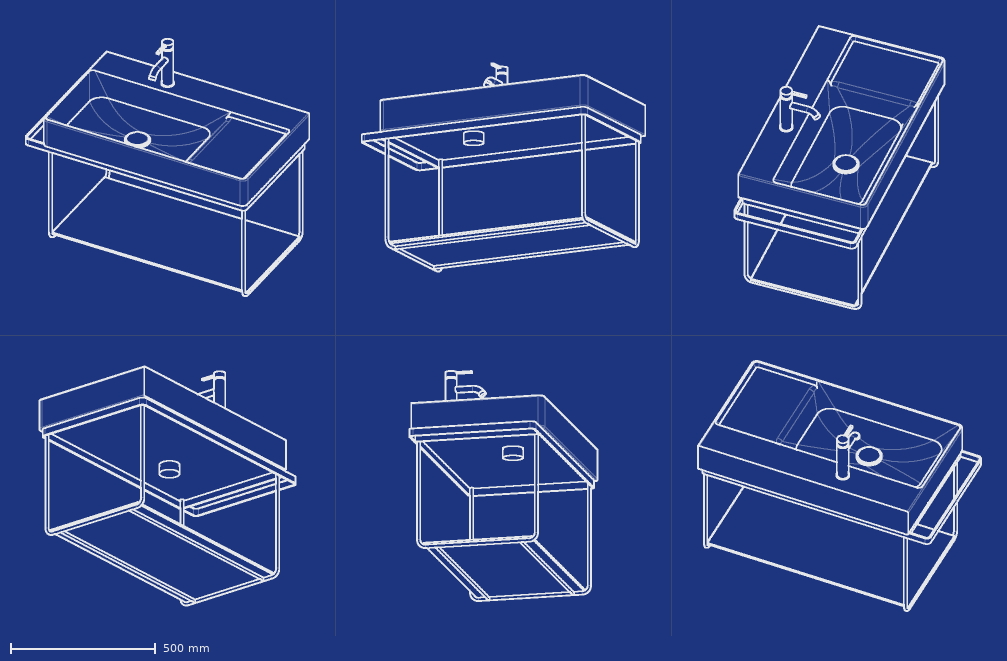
import cadquery as cq
import math


SELECT_MARGIN = 1.0

BASIN_LEFT = 76.0
BASIN_RIGHT = 873.5
BASIN_DEPTH = 470.0
BASIN_BOTTOM = 405.0
BASIN_TOP = 517.0
BASIN_CORNER_RADIUS = 20.0
BASIN_EDGE_RADIUS = 4.0

RIM_WIDTH = 7.0
BACK_LEDGE = 122.0
OPENING_RADIUS = 14.0
OPENING_LEFT = BASIN_LEFT + RIM_WIDTH
OPENING_RIGHT = BASIN_RIGHT - RIM_WIDTH
OPENING_FRONT = -BASIN_DEPTH + RIM_WIDTH

TRAY_DROP = 12.0
TRAY_WALL_RUN = 12.0
TRAY_CORNER_RADIUS = 7.0
TRAY_LIP_RADIUS = 24.0
TRAY_Z = BASIN_TOP - TRAY_DROP

BOWL_RIGHT = 642.0
DRAIN_X = 356.0
DRAIN_Y = -293.0
WALL_FOOT_Z = 449.0
WALL_RUN = 40.0
WALL_RUN_RIGHT = 51.5
WALL_FOOT_RADIUS = 48.0
FLOOR_MID_Z = 423.0
FLOOR_MID_LENGTH = 332.0
FLOOR_MID_WIDTH = 178.0
FLOOR_Z = 414.0
FLOOR_FLAT = 91.0
FLOOR_FLAT_RADIUS = 42.0

FLANGE_RADIUS = 44.5
FLANGE_THICKNESS = 3.5
CAP_RADIUS = 39.0
CAP_TOP = 420.0
PIPE_RADIUS = 35.0
PIPE_BOTTOM = 372.0
FLANGE_BOTTOM = FLOOR_Z - FLANGE_THICKNESS

RAIL_RIGHT = 867.0
RAIL_BACK = -9.0
RAIL_FRONT = -458.0
RAIL_HEIGHT = 26.0
RAIL_THICKNESS = 5.0
RAIL_BRACE_LEFT = 81.0
RAIL_CORNER_RADIUS = 17.0

TUBE_RADIUS = 6.0
LEG_XS = (95.0, 853.0)
LEG_BACK_Y = -22.0
LEG_FRONT_Y = -441.0
LEG_BEND_RADIUS = 25.0
CROSSBAR_RADIUS = 5.0
CROSSBAR_YS = (-83.0, -383.5)
SHELF_BACK_Y = -40.0
SHELF_FRONT_Y = -424.0
SHELF_THICKNESS = 7.0
SHELF_OVERHANG = 3.5

TAP_X = DRAIN_X
TAP_Y = -72.5
TAP_RADIUS = 20.0
TAP_BASE_RADIUS = 23.0
TAP_BASE_HEIGHT = 3.0
TAP_BODY_TOP = 665.5
SPOUT_RADIUS = 10.9
SPOUT_Z = 627.0
SPOUT_STRAIGHT_END_Y = -150.0
SPOUT_BEND_RADIUS = 37.0
SPOUT_BEND_ANGLE = math.radians(55)
OUTLET_RADIUS = 11.8
OUTLET_LENGTH = 11.0

HANDLE_TOP = 691.0
HANDLE_NECK_RADIUS = 18.0
HANDLE_NECK_HEIGHT = 4.0
LEVER_TIP_Y = -147.0
LEVER_WIDTH = 9.0
LEVER_THICKNESS = 5.0
LEVER_TOP_GAP = 1.0


def block(x1, x2, y1, y2, z1, z2):
    """Box between two opposite corners."""
    return cq.Workplane("XY").box(x2 - x1, y2 - y1, z2 - z1, centered=False).translate((x1, y1, z1))


def cylinder(x, y, z1, z2, radius):
    """Upright cylinder from height z1 to height z2."""
    return cq.Workplane("XY", origin=(x, y, z1)).circle(radius).extrude(z2 - z1)


def rounded_rectangle(x1, x2, y1, y2, z, radius):
    """Horizontal rounded-rectangle wire at height z."""
    plate = block(x1, x2, y1, y2, z, z + 9).edges("|Z").fillet(radius)
    return plate.faces("<Z").wires().val()


def centred_rectangle(length, width, z, radius):
    """Rounded-rectangle wire centred on the drain."""
    return rounded_rectangle(
        DRAIN_X - length / 2, DRAIN_X + length / 2,
        DRAIN_Y - width / 2, DRAIN_Y + width / 2, z, radius,
    )


def make_bowl():
    """Bowl cavity: straight sloping walls above a dished floor."""
    mouth = rounded_rectangle(
        OPENING_LEFT, BOWL_RIGHT, OPENING_FRONT, -BACK_LEDGE, BASIN_TOP, OPENING_RADIUS)
    wall_foot = rounded_rectangle(
        OPENING_LEFT + WALL_RUN, BOWL_RIGHT - WALL_RUN_RIGHT,
        OPENING_FRONT + WALL_RUN, -BACK_LEDGE - WALL_RUN, WALL_FOOT_Z, WALL_FOOT_RADIUS)
    floor_middle = centred_rectangle(
        FLOOR_MID_LENGTH, FLOOR_MID_WIDTH, FLOOR_MID_Z, WALL_FOOT_RADIUS)
    floor_flat = centred_rectangle(FLOOR_FLAT, FLOOR_FLAT, FLOOR_Z, FLOOR_FLAT_RADIUS)
    walls = cq.Solid.makeLoft([mouth, wall_foot], True)
    dish = cq.Solid.makeLoft([wall_foot, floor_middle, floor_flat], False)
    return cq.Workplane(walls).union(cq.Workplane(dish))


def make_tray():
    """Shallow cavity with sloping walls below the whole opening."""
    mouth = rounded_rectangle(
        OPENING_LEFT, OPENING_RIGHT, OPENING_FRONT, -BACK_LEDGE, BASIN_TOP, OPENING_RADIUS)
    tray_floor = rounded_rectangle(
        OPENING_LEFT + TRAY_WALL_RUN, OPENING_RIGHT - TRAY_WALL_RUN,
        OPENING_FRONT + TRAY_WALL_RUN, -BACK_LEDGE - TRAY_WALL_RUN,
        TRAY_Z, TRAY_CORNER_RADIUS)
    return cq.Workplane(cq.Solid.makeLoft([mouth, tray_floor], True))


def make_basin():
    """Block rounded on all edges but those at the wall, with tray, bowl and drain hole."""
    basin = block(BASIN_LEFT, BASIN_RIGHT, -BASIN_DEPTH, 0, BASIN_BOTTOM, BASIN_TOP)
    basin = basin.edges("|Z and <Y").fillet(BASIN_CORNER_RADIUS)
    exposed_edges = cq.selectors.BoxSelector(
        (BASIN_LEFT - SELECT_MARGIN, -BASIN_DEPTH - SELECT_MARGIN, BASIN_BOTTOM - SELECT_MARGIN),
        (BASIN_RIGHT + SELECT_MARGIN, -SELECT_MARGIN, BASIN_TOP + SELECT_MARGIN))
    basin = basin.faces("<Z or >Z").edges(exposed_edges).fillet(BASIN_EDGE_RADIUS)
    basin = basin.cut(make_tray()).cut(make_bowl())
    lip_zone = cq.selectors.BoxSelector(
        (BOWL_RIGHT - WALL_RUN_RIGHT, -BASIN_DEPTH, TRAY_Z - SELECT_MARGIN),
        (BOWL_RIGHT, 0, TRAY_Z + SELECT_MARGIN))
    basin = basin.edges(lip_zone).fillet(TRAY_LIP_RADIUS)
    basin = basin.cut(cylinder(DRAIN_X, DRAIN_Y, FLANGE_BOTTOM, BASIN_TOP, FLANGE_RADIUS))
    basin = basin.cut(cylinder(DRAIN_X, DRAIN_Y, BASIN_BOTTOM, FLANGE_BOTTOM, PIPE_RADIUS))
    return basin


def make_drain():
    """Pipe through the basin floor with its flange and flat cap."""
    pipe = cylinder(DRAIN_X, DRAIN_Y, PIPE_BOTTOM, FLANGE_BOTTOM, PIPE_RADIUS)
    flange = cylinder(DRAIN_X, DRAIN_Y, FLANGE_BOTTOM, FLOOR_Z, FLANGE_RADIUS)
    cap = cylinder(DRAIN_X, DRAIN_Y, FLOOR_Z, CAP_TOP, CAP_RADIUS)
    return pipe.union(flange).union(cap)


def make_rail():
    """Flat bar bent into a closed frame under the basin, with a brace across it."""
    rail_bottom = BASIN_BOTTOM - RAIL_HEIGHT
    outer = block(0, RAIL_RIGHT, RAIL_FRONT, RAIL_BACK, rail_bottom, BASIN_BOTTOM)
    outer = outer.edges("|Z").fillet(RAIL_CORNER_RADIUS)
    inner = block(
        RAIL_THICKNESS, RAIL_RIGHT - RAIL_THICKNESS,
        RAIL_FRONT + RAIL_THICKNESS, RAIL_BACK - RAIL_THICKNESS, rail_bottom, BASIN_BOTTOM)
    inner = inner.edges("|Z").fillet(RAIL_CORNER_RADIUS - RAIL_THICKNESS)
    brace = block(
        RAIL_BRACE_LEFT, RAIL_BRACE_LEFT + RAIL_THICKNESS,
        RAIL_FRONT + RAIL_THICKNESS, RAIL_BACK - RAIL_THICKNESS, rail_bottom, BASIN_BOTTOM)
    return outer.cut(inner).union(brace)


def make_leg_loop(x):
    """U-shaped tube: two legs hanging from the basin and the run that joins them."""
    bend_offset = LEG_BEND_RADIUS * (1 - math.sqrt(0.5))
    bend_z = TUBE_RADIUS + LEG_BEND_RADIUS
    path = (
        cq.Workplane("YZ", origin=(x, 0, 0))
        .moveTo(LEG_BACK_Y, BASIN_BOTTOM)
        .lineTo(LEG_BACK_Y, bend_z)
        .threePointArc(
            (LEG_BACK_Y - bend_offset, TUBE_RADIUS + bend_offset),
            (LEG_BACK_Y - LEG_BEND_RADIUS, TUBE_RADIUS))
        .lineTo(LEG_FRONT_Y + LEG_BEND_RADIUS, TUBE_RADIUS)
        .threePointArc(
            (LEG_FRONT_Y + bend_offset, TUBE_RADIUS + bend_offset),
            (LEG_FRONT_Y, bend_z))
        .lineTo(LEG_FRONT_Y, BASIN_BOTTOM)
    )
    start = cq.Workplane("XY", origin=(x, LEG_BACK_Y, BASIN_BOTTOM))
    return start.circle(TUBE_RADIUS).sweep(path)


def make_crossbar(y, leg_loops):
    """Straight tube between the two loops, its ends shaped to fit against them."""
    first_x, last_x = LEG_XS
    bar = cq.Workplane("YZ", origin=(first_x, y, TUBE_RADIUS)).circle(CROSSBAR_RADIUS)
    bar = bar.extrude(last_x - first_x)
    for loop in leg_loops:
        bar = bar.cut(loop)
    return bar


def make_shelf(leg_loops):
    """Board resting on the loops, relieved where its ends meet their bends."""
    first_x, last_x = LEG_XS
    seat_z = 2 * TUBE_RADIUS
    shelf = block(
        first_x - SHELF_OVERHANG, last_x + SHELF_OVERHANG,
        SHELF_FRONT_Y, SHELF_BACK_Y, seat_z, seat_z + SHELF_THICKNESS)
    for loop in leg_loops:
        shelf = shelf.cut(loop)
    return shelf


def make_spout():
    """Tube running forward from the tap axis, bent down and ending in a wider outlet."""
    def bend_point(angle):
        return (
            SPOUT_STRAIGHT_END_Y - SPOUT_BEND_RADIUS * math.sin(angle),
            SPOUT_Z - SPOUT_BEND_RADIUS * (1 - math.cos(angle)),
        )

    bend_end = bend_point(SPOUT_BEND_ANGLE)
    path = (
        cq.Workplane("YZ", origin=(TAP_X, 0, 0))
        .moveTo(TAP_Y, SPOUT_Z)
        .lineTo(SPOUT_STRAIGHT_END_Y, SPOUT_Z)
        .threePointArc(bend_point(SPOUT_BEND_ANGLE / 2), bend_end)
    )
    tube = cq.Workplane("XZ", origin=(TAP_X, TAP_Y, SPOUT_Z)).circle(SPOUT_RADIUS).sweep(path)
    outlet = cq.Solid.makeCylinder(
        OUTLET_RADIUS, OUTLET_LENGTH, cq.Vector(TAP_X, *bend_end),
        cq.Vector(0, -math.cos(SPOUT_BEND_ANGLE), -math.sin(SPOUT_BEND_ANGLE)))
    return tube.union(cq.Workplane(outlet))


def make_tap():
    """Tap column with its base ring and spout."""
    column = cylinder(TAP_X, TAP_Y, BASIN_TOP, TAP_BODY_TOP, TAP_RADIUS)
    base = cylinder(TAP_X, TAP_Y, BASIN_TOP, BASIN_TOP + TAP_BASE_HEIGHT, TAP_BASE_RADIUS)
    return column.union(base).union(make_spout())


def make_handle():
    """Round handle on a slimmer neck with a flat lever pointing forward."""
    head_bottom = TAP_BODY_TOP + HANDLE_NECK_HEIGHT
    neck = cylinder(TAP_X, TAP_Y, TAP_BODY_TOP, head_bottom, HANDLE_NECK_RADIUS)
    head = cylinder(TAP_X, TAP_Y, head_bottom, HANDLE_TOP, TAP_RADIUS)
    lever_top = HANDLE_TOP - LEVER_TOP_GAP
    lever = block(
        TAP_X - LEVER_WIDTH / 2, TAP_X + LEVER_WIDTH / 2, LEVER_TIP_Y, TAP_Y,
        lever_top - LEVER_THICKNESS, lever_top)
    return neck.union(head).union(lever)


basin = make_basin()
drain = make_drain()
rail = make_rail()
leg_loops = [make_leg_loop(x) for x in LEG_XS]
crossbars = [make_crossbar(y, leg_loops) for y in CROSSBAR_YS]
shelf = make_shelf(leg_loops)
tap = make_tap()
handle = make_handle()

result = cq.Compound.makeCompound([
    basin.val(),
    drain.val(),
    rail.val(),
    *[loop.val() for loop in leg_loops],
    *[bar.val() for bar in crossbars],
    shelf.val(),
    tap.val(),
    handle.val(),
])